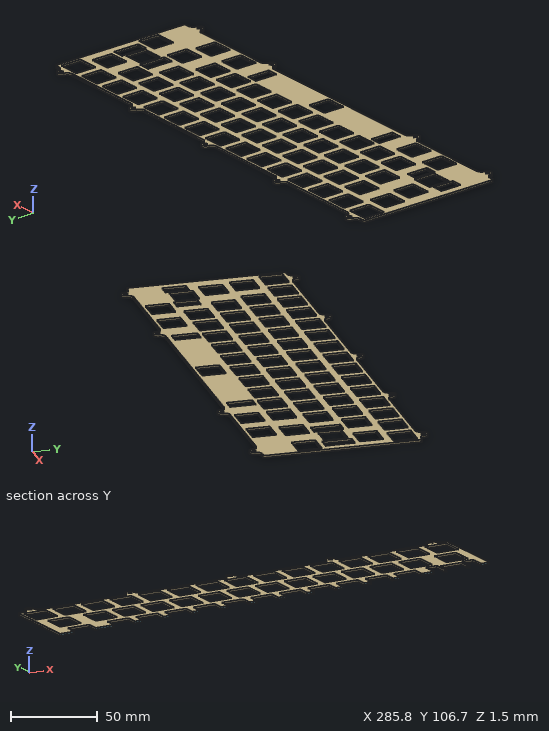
import cadquery as cq
import math


length = 285.8
columns = 15
rows = 5
pitch = length / columns
width = rows * pitch
thickness = 1.5
corner_radius = 1.5

switch_size = 14.0
switch_corner_radius = 0.5

stabilizer_width = 7.1
wide_key_reach = 12.0
space_bar_reach = 3 * pitch
enter_stabilizer_height = 17.5
shift_stabilizer_height = 14.0
space_stabilizer_height = 15.1
shift_stabilizer_drop = 1.7
space_stabilizer_rise = 1.7

tab_reach = 5.7
tab_radius = 2.71
tab_center_height = tab_reach - tab_radius
tab_flare_radius = 3.5
tab_root_depth = 1.5
tab_hole_diameter = 2.2
back_tab_columns = [0.5, 4, 7.5, 11, 14.5]
front_tab_columns = [0.5, 4, 11, 14.5]

enter_column = 13.875
shift_column = 1.125
space_column = columns / 2


def evenly_spaced(first, count):
    """Columns of neighbouring keys that are one pitch wide."""
    return [first + step for step in range(count)]


key_rows = [
    evenly_spaced(0.5, 15),
    [0.75] + evenly_spaced(2, 12) + [14.25],
    [0.875] + evenly_spaced(2.25, 11) + [enter_column],
    [shift_column] + evenly_spaced(2.75, 10) + [13.125, 14.5],
    [2, 3.25, space_column, 11.75, 13],
]
enter_row = 2
shift_row = 3
space_row = 4


def column_x(column):
    return column * pitch - length / 2


def row_y(row):
    return width / 2 - (row + 0.5) * pitch


def through_boxes(points, size_x, size_y):
    return cq.Workplane("XY").pushPoints(points).rect(size_x, size_y).extrude(thickness)


def stabilizer_pair(column, row, reach, height, shift_y=0):
    """Two openings at equal distances to the left and right of a key."""
    x = column_x(column)
    y = row_y(row) + shift_y
    return through_boxes([(x - reach, y), (x + reach, y)], stabilizer_width, height)


def mounting_tab(column, side):
    """Round tab with flared base; side is +1 for the back edge, -1 for the front."""
    x = column_x(column)
    center_reach = tab_radius + tab_flare_radius
    flare_x = math.sqrt(center_reach**2 - (tab_center_height - tab_flare_radius) ** 2)
    head_share = tab_radius / center_reach
    meet_x = flare_x * head_share
    meet_y = tab_center_height + (tab_flare_radius - tab_center_height) * head_share
    start_angle = -math.pi / 2
    end_angle = -math.pi - math.asin((tab_center_height - tab_flare_radius) / center_reach)
    middle_angle = (start_angle + end_angle) / 2
    middle_x = flare_x + tab_flare_radius * math.cos(middle_angle)
    middle_y = tab_flare_radius * (1 + math.sin(middle_angle))

    def place(across, out):
        return (x + across, side * (width / 2 + out))

    return (
        cq.Workplane("XY")
        .moveTo(*place(-flare_x, -tab_root_depth))
        .lineTo(*place(-flare_x, 0))
        .threePointArc(place(-middle_x, middle_y), place(-meet_x, meet_y))
        .threePointArc(place(0, tab_reach), place(meet_x, meet_y))
        .threePointArc(place(middle_x, middle_y), place(flare_x, 0))
        .lineTo(*place(flare_x, -tab_root_depth))
        .close()
        .extrude(thickness)
    )


plate = (
    cq.Workplane("XY")
    .rect(length, width)
    .extrude(thickness)
    .edges("|Z")
    .fillet(corner_radius)
)

tab_places = [(column, 1) for column in back_tab_columns]
tab_places += [(column, -1) for column in front_tab_columns]
for column, side in tab_places:
    plate = plate.union(mounting_tab(column, side))

hole_y = width / 2 + tab_center_height
hole_points = [(column_x(column), side * hole_y) for column, side in tab_places]
plate = plate.cut(
    cq.Workplane("XY").pushPoints(hole_points).circle(tab_hole_diameter / 2).extrude(thickness)
)

key_points = [
    (column_x(column), row_y(row))
    for row, key_columns in enumerate(key_rows)
    for column in key_columns
]
switch_openings = through_boxes(key_points, switch_size, switch_size)
plate = plate.cut(switch_openings.edges("|Z").fillet(switch_corner_radius))

plate = plate.cut(
    stabilizer_pair(enter_column, enter_row, wide_key_reach, enter_stabilizer_height)
)
plate = plate.cut(
    stabilizer_pair(
        shift_column, shift_row, wide_key_reach, shift_stabilizer_height, -shift_stabilizer_drop
    )
)
plate = plate.cut(
    stabilizer_pair(
        space_column, space_row, space_bar_reach, space_stabilizer_height, space_stabilizer_rise
    )
)

result = plate